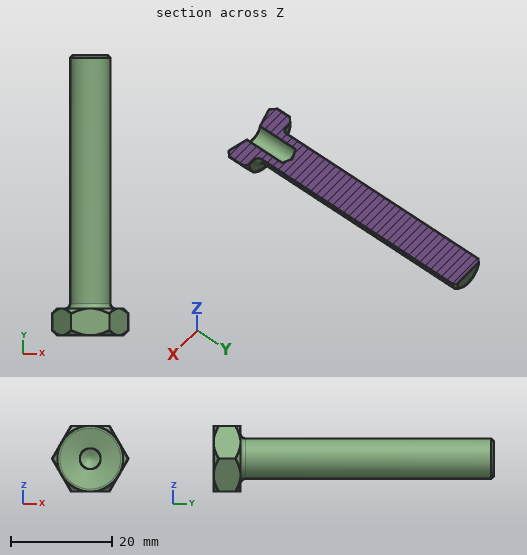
import cadquery as cq
import math

shank_diameter = 8.0
shank_length = 50.0
shank_end_chamfer = 0.6
underhead_fillet = 1.0

across_flats = 13.0
head_sides = 6
across_corners = across_flats / math.cos(math.pi / head_sides)
head_height = 5.3

recess_diameter = 12.0
recess_cone_angle = 150.0
hole_diameter = 4.1
hole_depth = 10.0
drill_point_angle = 130.0


def revolve_about_y(profile):
    """Turn a closed XY profile (X = radius) about the Y axis."""
    return profile.close().revolve(360, (0, 0, 0), (0, 1, 0))


def make_head():
    """Hexagon with corners on the X axis, trimmed by 45 degree cones at both faces."""
    hexagon = (
        cq.Workplane("XZ")
        .polygon(head_sides, across_corners)
        .extrude(head_height)
    )
    face_radius = across_flats / 2
    corner_radius = across_corners / 2
    corner_chamfer = corner_radius - face_radius
    envelope = revolve_about_y(
        cq.Workplane("XY")
        .moveTo(0, -head_height)
        .lineTo(face_radius, -head_height)
        .lineTo(corner_radius, corner_chamfer - head_height)
        .lineTo(corner_radius, -corner_chamfer)
        .lineTo(face_radius, 0)
        .lineTo(0, 0)
    )
    return hexagon.intersect(envelope)


def make_shank():
    """Plain round shank, filleted into the head and chamfered at its free end."""
    radius = shank_diameter / 2
    fillet_radius = radius + underhead_fillet
    overlap = head_height / 2
    fillet_middle = underhead_fillet * (1 - math.sqrt(0.5))
    return revolve_about_y(
        cq.Workplane("XY")
        .moveTo(0, -overlap)
        .lineTo(fillet_radius, -overlap)
        .lineTo(fillet_radius, 0)
        .threePointArc((radius + fillet_middle, fillet_middle), (radius, underhead_fillet))
        .lineTo(radius, shank_length - shank_end_chamfer)
        .lineTo(radius - shank_end_chamfer, shank_length)
        .lineTo(0, shank_length)
    )


def make_recess():
    """Cone opening at the head face, leading into a blind hole with a drill point."""
    hole_radius = hole_diameter / 2
    recess_radius = recess_diameter / 2
    recess_depth = (recess_radius - hole_radius) / math.tan(math.radians(recess_cone_angle / 2))
    cone_end = recess_depth - head_height
    hole_end = hole_depth - head_height
    drill_point = hole_radius / math.tan(math.radians(drill_point_angle / 2))
    return revolve_about_y(
        cq.Workplane("XY")
        .moveTo(0, -head_height)
        .lineTo(recess_radius, -head_height)
        .lineTo(hole_radius, cone_end)
        .lineTo(hole_radius, hole_end)
        .lineTo(0, hole_end + drill_point)
    )


result = make_head().union(make_shank()).cut(make_recess())